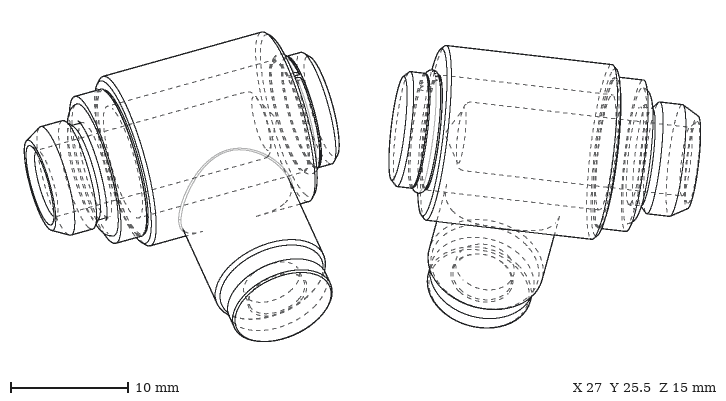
import cadquery as cq
import math

barrel_dia = 15.0
barrel_len = 15.0
barrel_chamfer = 0.32
shaft_radius = 4.95
barrel_radius = barrel_dia / 2
barrel_half = barrel_len / 2

overall_len = 27
branch_radius = 5.0
branch_chamfer = 0.32
junction_fillet = 0.15
seam_margin = 0.27
collar_radius = 4.5
collar_len = 1.43
collar_chamfer = 0.15
collar_gap = 1.45
collar_flare = 0.14
branch_neck_radius = 2.55
collar_end_x = overall_len - barrel_radius
collar_start_x = collar_end_x - collar_len
branch_end_x = collar_start_x - collar_gap

front_tip_y = -15.0
nose_y = -13.58
thread_start_y = -11.6
thread_relief_y = -11.05
flange_front_y = -10.02
flange_back_y = -7.67
tip_radius = 4.0
thread_radius = 4.8
relief_radius = 4.18
flange_radius = 6.5
undercut_radius = 6.4

bead_radius = 0.85
bead_centre_radius = relief_radius + bead_radius
bead_y = -9.85

rear_tip_y = 10.48
rear_chamfer = 0.49
groove_end_y = 8.7
groove_radius = 4.83
ring_wire_radius = 0.45
ring_y = (barrel_half + groove_end_y) / 2
ring_split = 0.57

mouth_radius = 3.5
mouth_depth = 0.57
bore_radius = 2.95
bore_floor_radius = 2.38
bore_floor_y = branch_radius
drill_angle = 118
bore_floor_fillet = bore_radius - bore_floor_radius
drill_tip_depth = bore_floor_radius / math.tan(math.radians(drill_angle / 2))


def y_cylinder(radius, start_y, end_y):
    """Cylinder about the Y axis."""
    return cq.Workplane("XZ", origin=(0, start_y, 0)).circle(radius).extrude(start_y - end_y)


def x_cylinder(radius, start_x, end_x):
    """Cylinder about the X axis."""
    return cq.Workplane("YZ", origin=(start_x, 0, 0)).circle(radius).extrude(end_x - start_x)


def y_torus(centre_radius, wire_radius, y):
    """Torus about the Y axis."""
    wire = cq.Workplane("XY").center(centre_radius, y).circle(wire_radius)
    return wire.revolve(360, (-centre_radius, 0, 0), (-centre_radius, 1, 0))


def make_housing():
    """Barrel with a side branch and release collar, bored for the bolt."""
    barrel = y_cylinder(barrel_radius, -barrel_half, barrel_half)
    barrel = barrel.faces("<Y or >Y").chamfer(barrel_chamfer)
    branch = x_cylinder(branch_radius, 0, branch_end_x).faces(">X").chamfer(branch_chamfer)
    body = barrel.union(branch)

    junction = cq.selectors.BoxSelector(
        (0, -branch_radius - seam_margin, -branch_radius - seam_margin),
        (barrel_radius + seam_margin, branch_radius + seam_margin, branch_radius + seam_margin),
        boundingbox=True,
    )
    body = body.edges(junction).fillet(junction_fillet)

    neck_profile = [
        (branch_end_x, 0),
        (branch_end_x, branch_neck_radius),
        (collar_start_x - collar_flare, branch_neck_radius),
        (collar_start_x, branch_neck_radius + collar_flare),
        (collar_start_x, 0),
    ]
    neck = cq.Workplane("XY").polyline(neck_profile).close().revolve(360, (0, 0, 0), (1, 0, 0))
    collar = x_cylinder(collar_radius, collar_start_x, collar_end_x).faces(">X").chamfer(collar_chamfer)
    body = body.union(neck).union(collar)
    return body.cut(y_cylinder(shaft_radius, -barrel_half, barrel_half))


def make_bolt_blank():
    """Solid turned outline of the bolt."""
    profile = [
        (0, front_tip_y),
        (tip_radius, front_tip_y),
        (thread_radius, nose_y),
        (thread_radius, thread_start_y),
        (relief_radius, thread_relief_y),
        (relief_radius, flange_front_y),
        (flange_radius, flange_front_y),
        (flange_radius, flange_back_y),
        (undercut_radius, flange_back_y),
        (undercut_radius, -barrel_half),
        (shaft_radius, -barrel_half),
        (shaft_radius, barrel_half),
        (groove_radius, barrel_half),
        (groove_radius, groove_end_y),
        (shaft_radius, groove_end_y),
        (shaft_radius, rear_tip_y - rear_chamfer),
        (shaft_radius - rear_chamfer, rear_tip_y),
        (0, rear_tip_y),
    ]
    return cq.Workplane("XY").polyline(profile).close().revolve(360, (0, 0, 0), (0, 1, 0))


def make_bore():
    """Countersunk blind bore with a rounded floor edge and a drill point."""
    arc_offset = bore_floor_fillet * math.sqrt(0.5)
    arc_mid = (
        bore_floor_radius + arc_offset,
        bore_floor_y - bore_floor_fillet + arc_offset,
    )
    outline = (
        cq.Workplane("XY")
        .moveTo(0, front_tip_y)
        .lineTo(mouth_radius, front_tip_y)
        .lineTo(bore_radius, front_tip_y + mouth_depth)
        .lineTo(bore_radius, bore_floor_y - bore_floor_fillet)
        .threePointArc(arc_mid, (bore_floor_radius, bore_floor_y))
        .lineTo(0, bore_floor_y + drill_tip_depth)
        .close()
    )
    return outline.revolve(360, (0, 0, 0), (0, 1, 0))


def make_retaining_ring():
    """Round-wire ring, split at the top."""
    ring = y_torus(groove_radius, ring_wire_radius, ring_y)
    split = cq.Workplane("XY", origin=(0, ring_y, 0)).rect(ring_split, 3 * ring_wire_radius)
    return ring.cut(split.extrude(barrel_radius))


def make_bolt():
    """Hollow banjo bolt with its sealing bead and retaining ring."""
    bead = y_torus(bead_centre_radius, bead_radius, bead_y)
    return make_bolt_blank().union(bead).union(make_retaining_ring()).cut(make_bore())


housing = make_housing()
bolt = make_bolt()
result = cq.Compound.makeCompound([housing.solids().val(), bolt.solids().val()])